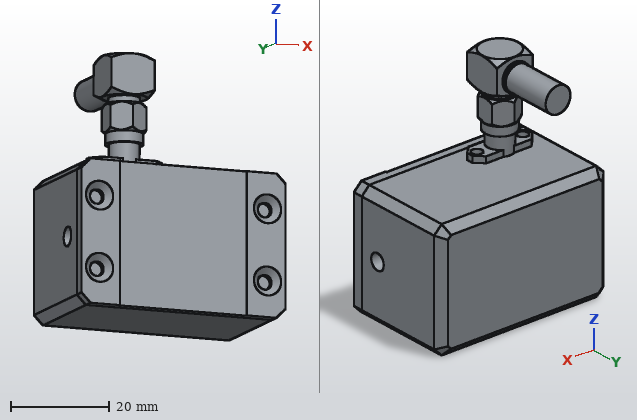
import cadquery as cq
import math

LENGTH = 45.0
DEPTH = 27.5
HEIGHT = 30.0
CHAMFER = 2.0
COVER_THICKNESS = 2.5
HOUSING_DEPTH = DEPTH - COVER_THICKNESS

STEP_WIDTH = 28.0
STEP_DEPTH = 0.3

SCREW_SPACING_X = 37.0
SCREW_SPACING_Z = 15.0
SCREW_DIAMETER = 3.0
COUNTERSINK_DIAMETER = 6.0
COUNTERSINK_ANGLE = 90.0

CROSS_HOLE_DIAMETER = 4.0
CROSS_HOLE_Z = HEIGHT / 2

AXIS_X = 12.5
AXIS_Y = 7.5

FLANGE_LENGTH = 16.0
FLANGE_WIDTH = 5.65
FLANGE_THICKNESS = 1.6
FLANGE_CORNER = 2.0
FLANGE_HOLE_DIAMETER = 2.6
FLANGE_HOLE_SPACING = 12.2
BARREL_DIAMETER = 6.35
BARREL_HEIGHT = 5.0
PIN_DIAMETER = 1.3
PIN_LENGTH = 15.8

PLUG_TOP = 53.17
SLEEVE_DIAMETER = 7.8
SLEEVE_HEIGHT = 2.25
NUT_FLATS = 8.0
NUT_CORNERS = NUT_FLATS / math.cos(math.pi / 6)
NUT_HEIGHT = 6.1
NUT_END_DIAMETER = 7.7
NUT_END_ANGLE = 45.0
NECK_DIAMETER = 6.5
ELBOW_SIDE = 9.55
ELBOW_HEIGHT = 8.5
ELBOW_END_DIAMETER = 9.45
ELBOW_END_ANGLE = 30.0

FERRULE_DROP = 4.52
COLLAR_DIAMETER = 6.95
COLLAR_LENGTH = 1.0
COLLAR_CHAMFER = 0.2
FERRULE_DIAMETER = 6.6
FERRULE_END_Y = 26.0

SLEEVE_Z = HEIGHT + BARREL_HEIGHT
NUT_Z = SLEEVE_Z + SLEEVE_HEIGHT
NECK_Z = NUT_Z + NUT_HEIGHT
ELBOW_Z = PLUG_TOP - ELBOW_HEIGHT


def enclosure_slab(front, depth):
    """Slab of the enclosure with its four long edges chamfered."""
    return (
        cq.Workplane("XY")
        .box(LENGTH, depth, HEIGHT, centered=False)
        .translate((0, front, 0))
        .edges("|Y")
        .chamfer(CHAMFER)
    )


def upright_cylinder(diameter, bottom, height):
    """Cylinder on the connector axis."""
    return cq.Workplane("XY", origin=(AXIS_X, AXIS_Y, bottom)).circle(diameter / 2).extrude(height)


def backward_cylinder(diameter, front, length):
    """Cylinder on the ferrule axis, running backwards from the given Y."""
    axis_z = PLUG_TOP - FERRULE_DROP
    return cq.Workplane("XZ", origin=(AXIS_X, front, axis_z)).circle(diameter / 2).extrude(-length)


def cone_ended_blank(end_diameter, widest_diameter, end_angle, bottom, height):
    """Turned blank whose conical ends cut back the corners of the prism it meets."""
    end_radius = end_diameter / 2
    radius = widest_diameter / 2
    drop = (radius - end_radius) * math.tan(math.radians(end_angle))
    profile = [
        (0, 0),
        (end_radius, 0),
        (radius, drop),
        (radius, height - drop),
        (end_radius, height),
        (0, height),
    ]
    return (
        cq.Workplane("XZ", origin=(AXIS_X, AXIS_Y, bottom))
        .polyline(profile)
        .close()
        .revolve(360, (0, 0, 0), (0, 1, 0))
    )


def make_housing():
    block = enclosure_slab(COVER_THICKNESS, HOUSING_DEPTH).faces(">Y").chamfer(CHAMFER)
    cross_hole = (
        cq.Workplane("YZ", origin=(0, AXIS_Y, CROSS_HOLE_Z)).circle(CROSS_HOLE_DIAMETER / 2).extrude(LENGTH)
    )
    pin_bore = upright_cylinder(PIN_DIAMETER, CROSS_HOLE_Z, HEIGHT - CROSS_HOLE_Z)
    return block.cut(cross_hole).cut(pin_bore)


def make_cover():
    plate = enclosure_slab(0, COVER_THICKNESS)
    step = (
        cq.Workplane("XY")
        .box(STEP_WIDTH, STEP_DEPTH, HEIGHT, centered=False)
        .translate(((LENGTH - STEP_WIDTH) / 2, 0, 0))
    )
    return (
        cq.Workplane("XZ", origin=(LENGTH / 2, 0, HEIGHT / 2))
        .add(plate.cut(step))
        .rarray(SCREW_SPACING_X, SCREW_SPACING_Z, 2, 2)
        .cskHole(SCREW_DIAMETER, COUNTERSINK_DIAMETER, COUNTERSINK_ANGLE)
    )


def make_jack():
    flange = (
        cq.Workplane("XY", origin=(AXIS_X, AXIS_Y, HEIGHT))
        .rect(FLANGE_LENGTH, FLANGE_WIDTH)
        .extrude(FLANGE_THICKNESS)
        .edges("|Z")
        .chamfer(FLANGE_CORNER)
        .faces(">Z")
        .workplane(origin=(AXIS_X, AXIS_Y, HEIGHT))
        .rarray(FLANGE_HOLE_SPACING, 1, 2, 1)
        .hole(FLANGE_HOLE_DIAMETER)
    )
    barrel = upright_cylinder(BARREL_DIAMETER, HEIGHT, BARREL_HEIGHT)
    pin = upright_cylinder(PIN_DIAMETER, HEIGHT - PIN_LENGTH, PIN_LENGTH)
    return flange.union(barrel).union(pin)


def make_nut():
    hexagon = (
        cq.Workplane("XY", origin=(AXIS_X, AXIS_Y, NUT_Z))
        .transformed(rotate=(0, 0, 90))
        .polygon(6, NUT_CORNERS)
        .extrude(NUT_HEIGHT)
    )
    blank = cone_ended_blank(NUT_END_DIAMETER, NUT_CORNERS, NUT_END_ANGLE, NUT_Z, NUT_HEIGHT)
    return hexagon.intersect(blank)


def make_elbow():
    block = (
        cq.Workplane("XY", origin=(AXIS_X, AXIS_Y, ELBOW_Z))
        .rect(ELBOW_SIDE, ELBOW_SIDE)
        .extrude(ELBOW_HEIGHT)
    )
    corners = ELBOW_SIDE * math.sqrt(2)
    blank = cone_ended_blank(ELBOW_END_DIAMETER, corners, ELBOW_END_ANGLE, ELBOW_Z, ELBOW_HEIGHT)
    return block.intersect(blank)


def make_plug():
    sleeve = upright_cylinder(SLEEVE_DIAMETER, SLEEVE_Z, SLEEVE_HEIGHT)
    neck = upright_cylinder(NECK_DIAMETER, NECK_Z, ELBOW_Z - NECK_Z)
    elbow_back = AXIS_Y + ELBOW_SIDE / 2
    ferrule_front = elbow_back + COLLAR_LENGTH
    collar = backward_cylinder(COLLAR_DIAMETER, elbow_back, COLLAR_LENGTH).edges().chamfer(COLLAR_CHAMFER)
    ferrule = backward_cylinder(FERRULE_DIAMETER, ferrule_front, FERRULE_END_Y - ferrule_front)
    upright = sleeve.union(make_nut()).union(neck).union(make_elbow())
    return upright.union(collar).union(ferrule)


housing = make_housing()
cover = make_cover()
jack = make_jack()
plug = make_plug()

result = cq.Compound.makeCompound([housing.val(), cover.val(), jack.val(), plug.val()])